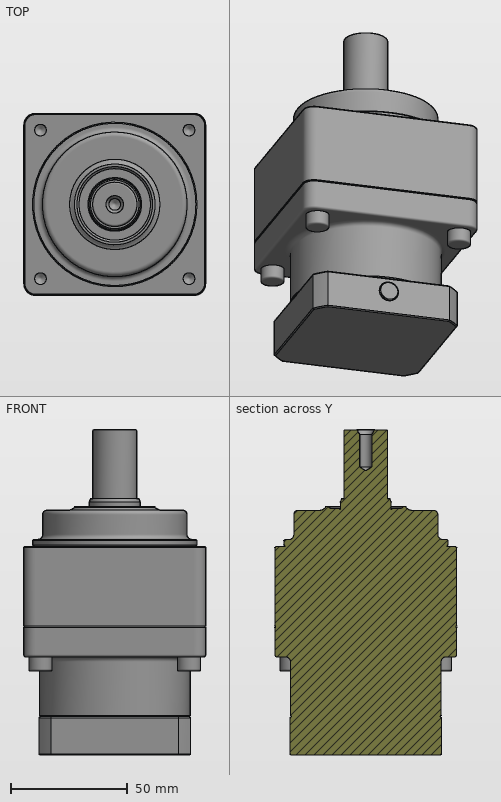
import cadquery as cq
import math

adapter_top = 16.5
body_bottom = 42.0
body_joint = 55.0
body_top = 89.5
flange_top = 92.5
pilot_top = 105.0
seal_shoulder = 105.3
seal_step = 106.1
seal_face = 105.9
seal_top = 106.65
collar_edge = 108.4
collar_top = 109.95
shaft_end = 139.5

body_width = 78.0
body_corner_radius = 5.0
body_edge_chamfer = 0.5
body_bottom_fillet = 1.0
joint_groove_width = 0.5
joint_groove_depth = 0.25

flange_diameter = 70.5
flange_chamfer = 0.5
pilot_diameter = 62.0
pilot_fillet = 2.0
seal_base_diameter = 38.7
seal_shoulder_diameter = 37.2
seal_rim_diameter = 34.6
seal_dish_outer = 32.4
seal_dish_inner = 30.6
seal_bore = 23.0
seal_bore_depth = 0.6
collar_diameter = 22.0
collar_top_diameter = 20.8
shaft_diameter = 19.0
shaft_fillet = 0.8

centre_hole_diameter = 5.0
centre_sink_diameter = 7.5
centre_sink_angle = 60.0
centre_hole_depth = 16.0

bolt_circle = 90.0
mount_hole_diameter = 5.0
mount_hole_depth = 15.0
drill_point_angle = 118.0
screw_head_diameter = 10.0
screw_head_height = 6.0
screw_head_fillet = 0.8

neck_diameter = 64.8
neck_fillet = 2.0
adapter_width = 65.0
adapter_corner_diameter = 85.0
adapter_chamfer = 0.5

plug_diameter = 8.5
plug_height = 0.8
plug_chamfer = 0.4
plug_level = 10.25


def cylinder(diameter, bottom, top):
    return cq.Workplane("XY").workplane(offset=bottom).circle(diameter / 2).extrude(top - bottom)


def square_block(width, bottom, top):
    return cq.Workplane("XY").workplane(offset=bottom).rect(width, width).extrude(top - bottom)


def revolve_outline(points):
    """Solid of revolution about Z from (radius, level) points."""
    return cq.Workplane("XZ").polyline(points).close().revolve(360, (0, 0, 0), (0, 1, 0))


def bolt_points():
    offset = bolt_circle / 2 * math.sqrt(0.5)
    return [(x, y) for x in (-offset, offset) for y in (-offset, offset)]


def drill(diameter, top, depth):
    """Drilled hole going down from `top`, with a conical point below `depth`."""
    radius = diameter / 2
    point = radius / math.tan(math.radians(drill_point_angle / 2))
    return revolve_outline([(0, top), (radius, top), (radius, top - depth), (0, top - depth - point)])


def root_fillet(diameter, level, size, direction):
    """Concave fillet ring where a cylinder rises (+1) or drops (-1) from a flat face at `level`."""
    radius = diameter / 2
    tip = level + direction * size
    return (
        cq.Workplane("XZ")
        .moveTo(radius + size, level)
        .radiusArc((radius, tip), direction * size)
        .lineTo(radius - size, tip)
        .lineTo(radius - size, level)
        .close()
        .revolve(360, (0, 0, 0), (0, 1, 0))
    )


def make_body():
    body = square_block(body_width, body_bottom, body_top).edges("|Z").fillet(body_corner_radius)
    body = body.faces(">Z").edges().chamfer(body_edge_chamfer)
    body = body.faces("<Z").edges().fillet(body_bottom_fillet)
    groove_bottom = body_joint - joint_groove_width / 2
    groove_top = body_joint + joint_groove_width / 2
    core_width = body_width - 2 * joint_groove_depth
    core = square_block(core_width, groove_bottom, groove_top)
    core = core.edges("|Z").fillet(body_corner_radius - joint_groove_depth)
    return body.cut(square_block(body_width, groove_bottom, groove_top).cut(core))


def make_pilot():
    flange = cylinder(flange_diameter, body_top, flange_top).edges().chamfer(flange_chamfer)
    pilot = cylinder(pilot_diameter, body_top, pilot_top).faces(">Z").edges().fillet(pilot_fillet)
    root = root_fillet(pilot_diameter, flange_top, pilot_fillet, 1)
    return flange.union(pilot).union(root)


def make_seal():
    """Seal cap with a coned outside, a dished face and a tapered gap around the collar."""
    return revolve_outline(
        [
            (0, pilot_top),
            (seal_base_diameter / 2, pilot_top),
            (seal_shoulder_diameter / 2, seal_shoulder),
            (seal_rim_diameter / 2, seal_step),
            (seal_rim_diameter / 2, seal_top),
            (seal_dish_outer / 2, seal_top),
            (seal_dish_inner / 2, seal_face),
            (seal_bore / 2, seal_face),
            (collar_diameter / 2, seal_face - seal_bore_depth),
            (0, seal_face - seal_bore_depth),
        ]
    )


def make_shaft():
    collar = revolve_outline(
        [
            (0, pilot_top),
            (collar_diameter / 2, pilot_top),
            (collar_diameter / 2, collar_edge),
            (collar_top_diameter / 2, collar_top),
            (0, collar_top),
        ]
    )
    shaft = cylinder(shaft_diameter, pilot_top, shaft_end).faces(">Z").edges().fillet(shaft_fillet)
    sink_depth = (centre_sink_diameter - centre_hole_diameter) / 2
    sink_depth /= math.tan(math.radians(centre_sink_angle / 2))
    sink = revolve_outline(
        [
            (0, shaft_end),
            (centre_sink_diameter / 2, shaft_end),
            (centre_hole_diameter / 2, shaft_end - sink_depth),
            (0, shaft_end - sink_depth),
        ]
    )
    return collar.union(shaft).cut(sink).cut(drill(centre_hole_diameter, shaft_end, centre_hole_depth))


def make_neck():
    neck = cylinder(neck_diameter, adapter_top, body_bottom).faces("<Z").edges().chamfer(adapter_chamfer)
    root = root_fillet(neck_diameter, body_bottom, neck_fillet, -1)
    return neck.union(root)


def make_adapter():
    plate = square_block(adapter_width, 0, adapter_top)
    plate = plate.intersect(cylinder(adapter_corner_diameter, 0, adapter_top))
    plate = plate.faces("<Z or >Z").edges().chamfer(adapter_chamfer)
    plug = (
        cq.Workplane("XZ", origin=(0, adapter_width / 2, plug_level))
        .circle(plug_diameter / 2)
        .extrude(-plug_height)
        .faces(">Y")
        .edges()
        .chamfer(plug_chamfer)
    )
    return plate.union(plug)


def make_screw_head():
    head = cylinder(screw_head_diameter, body_bottom - screw_head_height, body_bottom)
    return head.faces("<Z").edges().fillet(screw_head_fillet)


result = make_body().union(make_pilot()).union(make_seal()).union(make_shaft())
result = result.union(make_neck()).union(make_adapter())

mount_hole = drill(mount_hole_diameter, body_top, mount_hole_depth)
screw_head = make_screw_head()
for x, y in bolt_points():
    result = result.cut(mount_hole.translate((x, y, 0)))
    result = result.union(screw_head.translate((x, y, 0)))